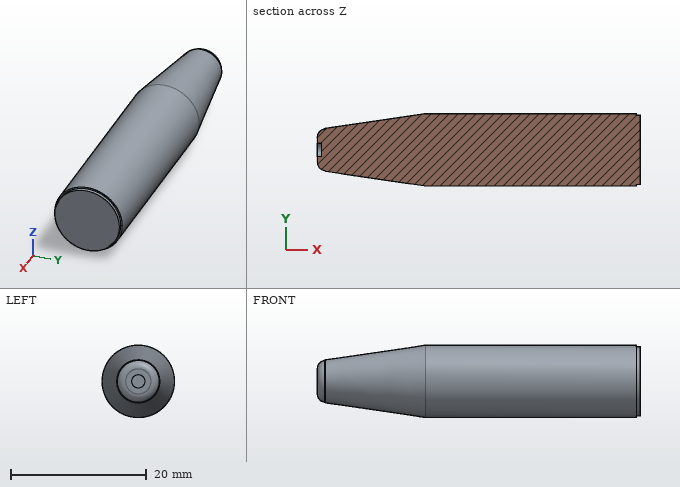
import math

import cadquery as cq

length = 47.55
body_diameter = 10.7
body_radius = body_diameter / 2

taper_start = 1.2
taper_start_radius = 3.2
taper_end = 15.93
taper_angle = math.atan2(body_radius - taper_start_radius, taper_end - taper_start)

tip_flat_radius = 1.85
tip_round_radius = 1.25

hole_diameter = 1.95
hole_depth = 0.6

spigot_length = 0.55
spigot_step = 0.25
spigot_start = length - spigot_length
spigot_radius = body_radius - spigot_step


def tip_round_point(angle):
    """Point on the tip rounding, angle swept from the flat face."""
    x = tip_round_radius * (1 - math.cos(angle))
    radius = tip_flat_radius + tip_round_radius * math.sin(angle)
    return (x, radius)


def turned_body():
    """Revolve the half outline (X along the axis, Y as radius)."""
    round_sweep = math.pi / 2 - taper_angle
    outline = (
        cq.Workplane("XY")
        .lineTo(0, tip_flat_radius)
        .threePointArc(tip_round_point(round_sweep / 2), tip_round_point(round_sweep))
        .lineTo(taper_start, taper_start_radius)
        .lineTo(taper_end, body_radius)
        .lineTo(spigot_start, body_radius)
        .lineTo(spigot_start, spigot_radius)
        .lineTo(length, spigot_radius)
        .lineTo(length, 0)
        .close()
    )
    return outline.revolve(360, (0, 0, 0), (1, 0, 0))


def tip_hole():
    """Cylinder that cuts the blind hole from the tip face inward."""
    return cq.Workplane("YZ").circle(hole_diameter / 2).extrude(hole_depth)


result = turned_body().cut(tip_hole())